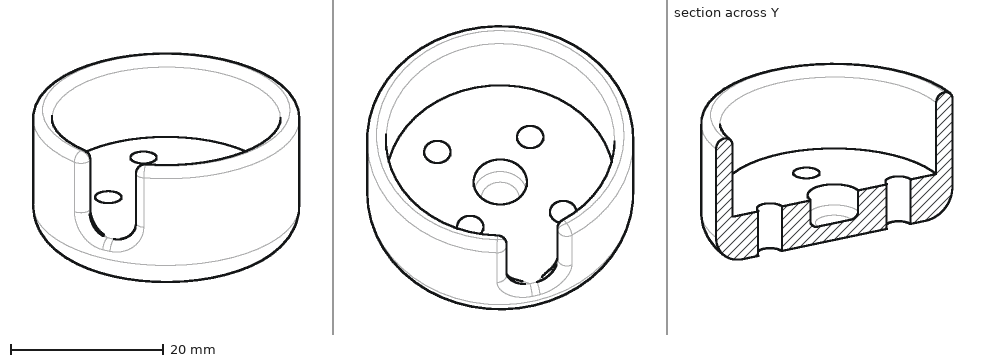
import cadquery as cq

outer_radius = 17.5
height = 18.0
wall = 2.5
inner_radius = outer_radius - wall
base_fillet = 4.0
floor_height = 6.48
edge_round = 0.499 * wall

slot_width = 7.0
slot_corner = 3.0
slot_angle = -45.0
slot_bottom = floor_height

hole_diameter = 3.45
hole_x = 9.5
hole_y = 8.0

pocket_diameter = 7.0
pocket_depth = 4.0
pocket_fillet = 1.0


def make_slot_cutter():
    """Bar along +X with rounded lower corners, running out through the rim."""
    bar_height = 2 * (height - slot_bottom)
    return (
        cq.Workplane("XY", origin=(0, 0, slot_bottom))
        .rect(2 * outer_radius, slot_width)
        .extrude(bar_height)
        .edges("|X and <Z")
        .fillet(slot_corner)
        .translate((outer_radius, 0, 0))
    )


def make_wall():
    """Slotted ring whose rim and slot edges are rounded inside and outside."""
    ring = cq.Workplane("XY").circle(outer_radius).circle(inner_radius).extrude(height)
    slotted = ring.cut(make_slot_cutter())
    upper_edges = (
        slotted.edges("(not |X) or >Z")
        .filter(lambda edge: edge.BoundingBox().zmin > slot_bottom / 2)
    )
    rounded = upper_edges.fillet(edge_round)
    return rounded.rotate((0, 0, 0), (0, 0, 1), slot_angle)


def make_floor():
    """Solid disc that closes the ring and meets the rounded slot bottom at mid-wall."""
    return cq.Workplane("XY").circle(outer_radius - wall / 2).extrude(floor_height)


def make_pocket():
    """Blind round pocket with a rounded bottom edge."""
    return (
        cq.Workplane("XY", origin=(0, 0, floor_height - pocket_depth))
        .circle(pocket_diameter / 2)
        .extrude(pocket_depth)
        .faces("<Z")
        .edges()
        .fillet(pocket_fillet)
    )


def make_holes():
    """Through holes, one pair on each horizontal axis."""
    centers = [(hole_x, 0), (-hole_x, 0), (0, hole_y), (0, -hole_y)]
    return cq.Workplane("XY").pushPoints(centers).circle(hole_diameter / 2).extrude(floor_height)


cup = make_wall().union(make_floor())
cup = cup.faces("<Z").edges().fillet(base_fillet)
result = cup.cut(make_pocket()).cut(make_holes())